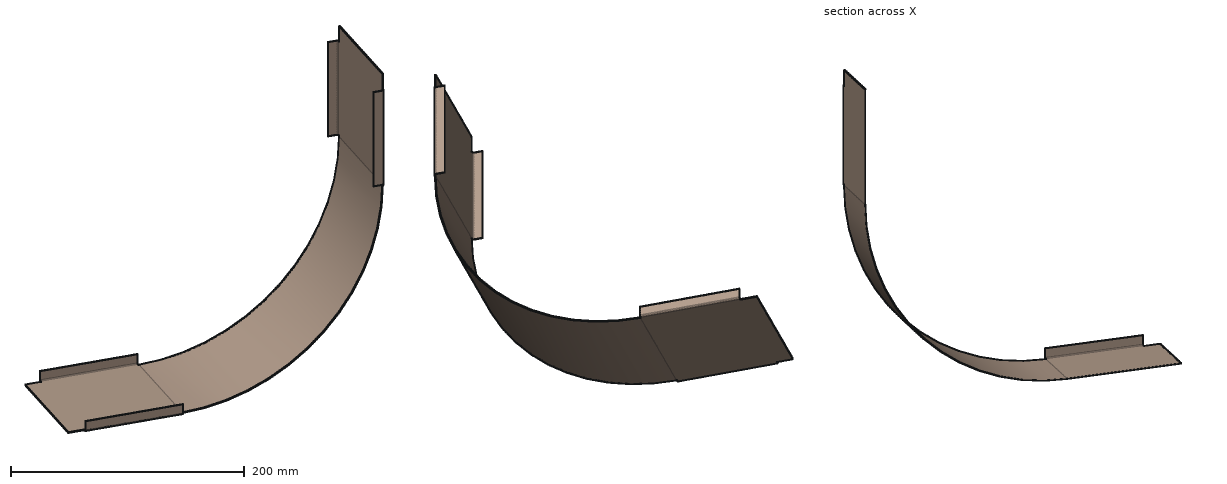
import cadquery as cq
import math

height = 290.0
depth = 289.5
overall_width = 106.0

sheet_width = 100.0
thickness = 1.01
straight_height = 105.0
flange_setback = 14.8
flange_length = 89.5
flange_height = 10.0
bend_radius = 0.5

outer_radius = height - straight_height
inner_radius = outer_radius - thickness


def arc_middle(radius):
    """Middle of the quarter bend, measured from the two outer faces."""
    return outer_radius - radius * math.sqrt(0.5)


def curved_band():
    """Upright and flat legs joined by a tangent quarter bend."""
    outer_middle = arc_middle(outer_radius)
    inner_middle = arc_middle(inner_radius)
    return (
        cq.Workplane("YZ")
        .moveTo(0, height)
        .lineTo(0, outer_radius)
        .threePointArc((-outer_middle, outer_middle), (-outer_radius, 0))
        .lineTo(-depth, 0)
        .lineTo(-depth, thickness)
        .lineTo(-outer_radius, thickness)
        .threePointArc((-inner_middle, inner_middle), (-thickness, outer_radius))
        .lineTo(-thickness, height)
        .close()
        .extrude(sheet_width / 2, both=True)
    )


def flanged_tray():
    """Shallow U-section on the flat leg, open along its two ends."""
    tray_start = -depth + flange_setback
    outer = (
        cq.Workplane("XY")
        .box(overall_width, flange_length, flange_height, centered=(True, False, False))
        .edges("|Y and <Z")
        .fillet(bend_radius + thickness)
    )
    channel_width = overall_width - 2 * thickness
    channel = (
        cq.Workplane("XY")
        .box(channel_width, flange_length, flange_height, centered=(True, False, False))
        .edges("|Y and <Z")
        .fillet(bend_radius)
        .translate((0, 0, thickness))
    )
    return outer.cut(channel).translate((0, tray_start, 0))


def upright_tray():
    """The same U-section turned onto the upright leg, set back from its top."""
    flipped = flanged_tray().mirror("XZ")
    return flipped.rotate((0, 0, 0), (1, 0, 0), 90).translate((0, 0, height - depth))


result = curved_band().union(flanged_tray()).union(upright_tray())